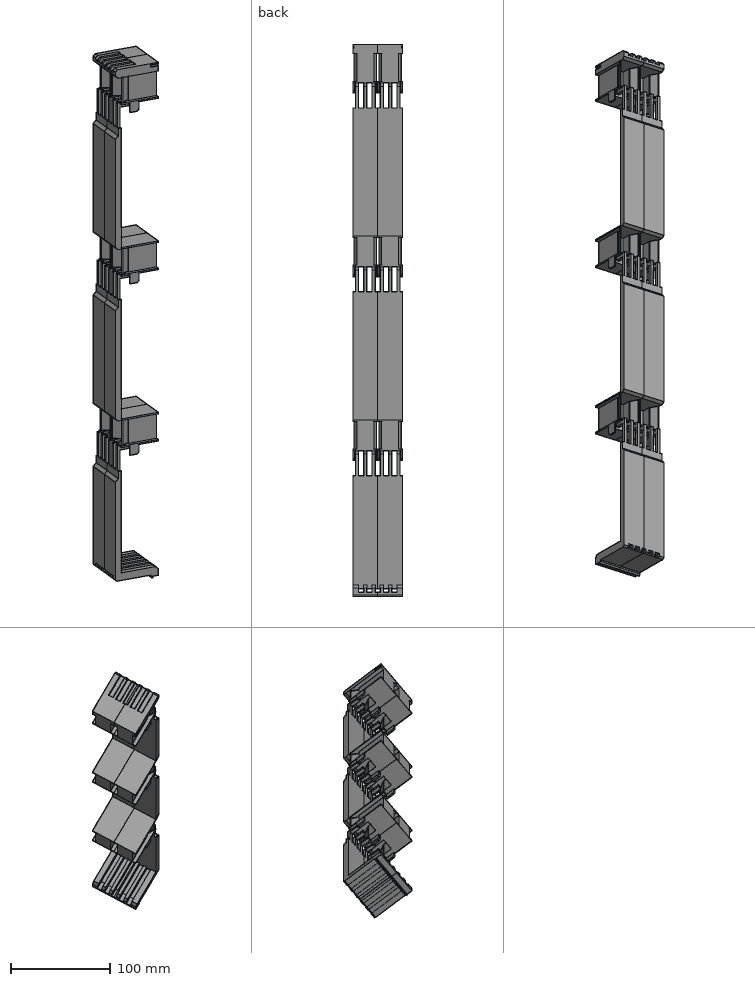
import cadquery as cq

TOTAL_HEIGHT = 556.0
COLUMN_WIDTH = 25.0
TOTAL_DEPTH = 48.5
COLUMN_MIDDLE = -COLUMN_WIDTH / 2
OUTER_SIDE = -COLUMN_WIDTH
FULL_WIDTH = (OUTER_SIDE, 0)

STAGE_COUNT = 3
STAGE_PITCH = 185.0
PANEL_DEPTH = 6.5
LEG_FRONT = 3.5
SHOULDER_TOP = 62.0
SHOULDER_RISE = 3.5
STRIP_TOP = 54.5
PANEL_CHAMFER_HEIGHT = 2.0

BLOCK_HEIGHT = 28.0
BLOCK_FRONT = 16.5
BLOCK_INSET = 4.0
LIP_INSET = 1.0
FLANGE_THICKNESS = 1.5
LIP_FRONT = 7.0
LIP_THICKNESS = 1.5
LIP_HALF_SPAN = COLUMN_WIDTH / 2 - LIP_INSET
THROAT_HALF_WIDTH = 6.0

LEG_COUNT = 3
LEG_PITCH = COLUMN_WIDTH / LEG_COUNT
LEG_WIDTH = 3.5
LEG_ARM_THICKNESS = 3.5
TAB_DEPTH = 10.0
THROAT_BACK = BLOCK_FRONT + TAB_DEPTH
TAB_DROP = 10.0
TAB_WIDTH = 1.5
TAB_CHAMFER = 2.0

CAP_THICKNESS = 9.5
CAP_TOP_CHAMFER = 2.0
SLOT_WIDTH = LEG_PITCH - LEG_WIDTH
CAP_SLOT_DEPTH = 4.5
CAP_SLOT_LENGTH = 25.5
POCKET_LENGTH = 8.5
POCKET_HEIGHT = 2.0
POCKET_DEPTH = 1.0
POCKET_COVER = 1.5

HOOK_LENGTH = 8.5
HOOK_PAD_HEIGHT = 1.5
HOOK_BARB_LENGTH = 2.0
HOOK_BARB_RAMP = 1.0
FOOT_BOTTOM = 3.5
FOOT_THICKNESS = 8.5
FOOT_BACK_CHAMFER = 3.0
FOOT_FRONT_CHAMFER = 1.5
FOOT_SLOT_FLOOR = 1.0
FOOT_WINDOW_HEIGHT = 3.5

FIRST_STAGE_TOP = TOTAL_HEIGHT - CAP_THICKNESS


def box(x_range, y_range, z_range):
    """Axis-aligned box between the given limits."""
    sizes = [high - low for low, high in (x_range, y_range, z_range)]
    corner = (x_range[0], y_range[0], z_range[0])
    return cq.Workplane("XY").box(*sizes, centered=False).translate(corner)


def side_profile(points, x_range):
    """Outline of (Y, Z) points pulled along X between the given limits."""
    width = x_range[1] - x_range[0]
    return cq.Workplane("YZ").polyline(points).close().extrude(width).translate((x_range[0], 0, 0))


def centred_range(middle, width):
    """Limits of a span of the given width around its middle."""
    return (middle - width / 2, middle + width / 2)


def make_panel(stage_top, panel_bottom, chamfer_depth, chamfer_height):
    """Front panel with a sloped shoulder, topped by the thinner strip that joins the legs."""
    shoulder = stage_top - SHOULDER_TOP
    outline = [
        (PANEL_DEPTH, panel_bottom),
        (chamfer_depth, panel_bottom),
        (0, panel_bottom + chamfer_height),
        (0, shoulder - SHOULDER_RISE),
        (LEG_FRONT, shoulder),
        (LEG_FRONT, stage_top - STRIP_TOP),
        (PANEL_DEPTH, stage_top - STRIP_TOP),
    ]
    return side_profile(outline, FULL_WIDTH)


def make_block(stage_top):
    """Block on its lower flange, with two flared lips in front that form a trough."""
    block_bottom = stage_top - BLOCK_HEIGHT
    block = box(
        (OUTER_SIDE + BLOCK_INSET, -BLOCK_INSET),
        (BLOCK_FRONT, TOTAL_DEPTH),
        (block_bottom, stage_top),
    )
    for side in (-1, 1):
        lip_outline = [
            (COLUMN_MIDDLE + side * THROAT_HALF_WIDTH, BLOCK_FRONT),
            (COLUMN_MIDDLE + side * LIP_HALF_SPAN, LIP_FRONT),
            (COLUMN_MIDDLE + side * LIP_HALF_SPAN, LIP_FRONT + LIP_THICKNESS),
            (COLUMN_MIDDLE + side * THROAT_HALF_WIDTH, BLOCK_FRONT + LIP_THICKNESS),
        ]
        lip = cq.Workplane("XY").polyline(lip_outline).close().extrude(BLOCK_HEIGHT)
        block = block.union(lip.translate((0, 0, block_bottom)))
    return block.union(make_lower_flange(block_bottom)).cut(make_throat(stage_top))


def make_lower_flange(block_bottom):
    """Thin plate under the block, as wide as the column."""
    return box(FULL_WIDTH, (PANEL_DEPTH, TOTAL_DEPTH), (block_bottom - FLANGE_THICKNESS, block_bottom))


def make_throat(stage_top):
    """Space between the lips and behind them, which also passes through the lower flange."""
    left, right = centred_range(COLUMN_MIDDLE, 2 * THROAT_HALF_WIDTH)
    lip_left, lip_right = centred_range(COLUMN_MIDDLE, 2 * LIP_HALF_SPAN)
    outline = [
        (lip_left, LIP_FRONT),
        (left, BLOCK_FRONT),
        (left, THROAT_BACK),
        (right, THROAT_BACK),
        (right, BLOCK_FRONT),
        (lip_right, LIP_FRONT),
    ]
    height = BLOCK_HEIGHT + FLANGE_THICKNESS
    throat = cq.Workplane("XY").polyline(outline).close().extrude(height)
    return throat.translate((0, 0, stage_top - height))


def make_legs(stage_top):
    """Three L-shaped legs from the lower flange down to the strip."""
    arm_top = stage_top - BLOCK_HEIGHT
    arm_bottom = arm_top - FLANGE_THICKNESS - LEG_ARM_THICKNESS
    outline = [
        (LEG_FRONT, stage_top - STRIP_TOP),
        (LEG_FRONT, arm_top),
        (BLOCK_FRONT, arm_top),
        (BLOCK_FRONT, arm_bottom),
        (PANEL_DEPTH, arm_bottom),
        (PANEL_DEPTH, stage_top - STRIP_TOP),
    ]
    legs = cq.Workplane("XY")
    for index in range(LEG_COUNT):
        middle = OUTER_SIDE + (index + 0.5) * LEG_PITCH
        legs = legs.union(side_profile(outline, centred_range(middle, LEG_WIDTH)))
    return legs


def make_tabs(stage_top):
    """Two thin tabs that hang from the lower flange at the column sides."""
    tab_top = stage_top - BLOCK_HEIGHT - FLANGE_THICKNESS
    tab_bottom = tab_top - TAB_DROP
    tab_back = BLOCK_FRONT + TAB_DEPTH
    outline = [
        (BLOCK_FRONT, tab_top),
        (BLOCK_FRONT, tab_bottom),
        (tab_back - TAB_CHAMFER, tab_bottom),
        (tab_back, tab_bottom + TAB_CHAMFER),
        (tab_back, tab_top),
    ]
    outer_tab = side_profile(outline, (OUTER_SIDE, OUTER_SIDE + TAB_WIDTH))
    inner_tab = side_profile(outline, (-TAB_WIDTH, 0))
    return outer_tab.union(inner_tab)


def make_stage(index):
    """One stage: block with its flanges, legs, tabs and the panel below."""
    stage_top = FIRST_STAGE_TOP - index * STAGE_PITCH
    is_last = index == STAGE_COUNT - 1

    upper_flange = box(FULL_WIDTH, (LEG_FRONT, TOTAL_DEPTH), (stage_top, stage_top + FLANGE_THICKNESS))
    if is_last:
        panel = make_panel(stage_top, FOOT_BOTTOM, FOOT_FRONT_CHAMFER, FOOT_FRONT_CHAMFER)
    else:
        panel = make_panel(stage_top, stage_top - STAGE_PITCH, LEG_FRONT, PANEL_CHAMFER_HEIGHT)

    stage = make_block(stage_top).union(upper_flange)
    return stage.union(make_legs(stage_top)).union(make_tabs(stage_top)).union(panel)


def slot_ranges():
    """X limits of the slots, which lie between the legs and at the inner side."""
    for index in range(1, LEG_COUNT + 1):
        middle = OUTER_SIDE + index * LEG_PITCH
        low, high = centred_range(middle, SLOT_WIDTH)
        yield (low, min(high, 0))


def make_cap():
    """Top cover plate with short slots from the front and a small outer side pocket."""
    outline = [
        (LEG_FRONT, FIRST_STAGE_TOP),
        (0, FIRST_STAGE_TOP + PANEL_CHAMFER_HEIGHT),
        (0, TOTAL_HEIGHT - CAP_TOP_CHAMFER),
        (CAP_TOP_CHAMFER, TOTAL_HEIGHT),
        (TOTAL_DEPTH, TOTAL_HEIGHT),
        (TOTAL_DEPTH, FIRST_STAGE_TOP),
    ]
    cap = side_profile(outline, FULL_WIDTH)
    for slot in slot_ranges():
        cap = cap.cut(box(slot, (0, CAP_SLOT_LENGTH), (TOTAL_HEIGHT - CAP_SLOT_DEPTH, TOTAL_HEIGHT)))
    pocket_top = TOTAL_HEIGHT - POCKET_COVER
    pocket = box(
        (OUTER_SIDE, OUTER_SIDE + POCKET_DEPTH),
        (TOTAL_DEPTH - POCKET_LENGTH, TOTAL_DEPTH),
        (pocket_top - POCKET_HEIGHT, pocket_top),
    )
    return cap.cut(pocket)


def make_foot():
    """Bottom plate behind the last panel, with a hook under its back edge."""
    foot_top = FOOT_BOTTOM + FOOT_THICKNESS
    hook_front = TOTAL_DEPTH - HOOK_LENGTH
    pad_bottom = FOOT_BOTTOM - HOOK_PAD_HEIGHT
    outline = [
        (PANEL_DEPTH, FOOT_BOTTOM),
        (hook_front, FOOT_BOTTOM),
        (hook_front, pad_bottom),
        (hook_front + HOOK_BARB_RAMP, 0),
        (hook_front + HOOK_BARB_LENGTH, 0),
        (hook_front + HOOK_BARB_LENGTH, pad_bottom),
        (TOTAL_DEPTH, pad_bottom),
        (TOTAL_DEPTH, foot_top - FOOT_BACK_CHAMFER),
        (TOTAL_DEPTH - FOOT_BACK_CHAMFER, foot_top),
        (PANEL_DEPTH, foot_top),
    ]
    return side_profile(outline, FULL_WIDTH)


def cut_foot_slots(column):
    """Slots along the foot, each opening through the panel as a low window."""
    floor = FOOT_BOTTOM + FOOT_SLOT_FLOOR
    for slot in slot_ranges():
        window = box(slot, (0, PANEL_DEPTH), (floor, floor + FOOT_WINDOW_HEIGHT))
        channel = box(slot, (PANEL_DEPTH, TOTAL_DEPTH), (floor, FOOT_BOTTOM + FOOT_THICKNESS))
        column = column.cut(window).cut(channel)
    return column


def make_column(mirrored):
    """One complete column; the mirrored one stands on the +X side."""
    column = make_cap().union(make_foot())
    for index in range(STAGE_COUNT):
        column = column.union(make_stage(index))
    column = cut_foot_slots(column)
    if mirrored:
        column = column.mirror("YZ")
    return column


columns = [make_column(mirrored) for mirrored in (False, True)]

result = cq.Compound.makeCompound([solid for column in columns for solid in column.solids().vals()])